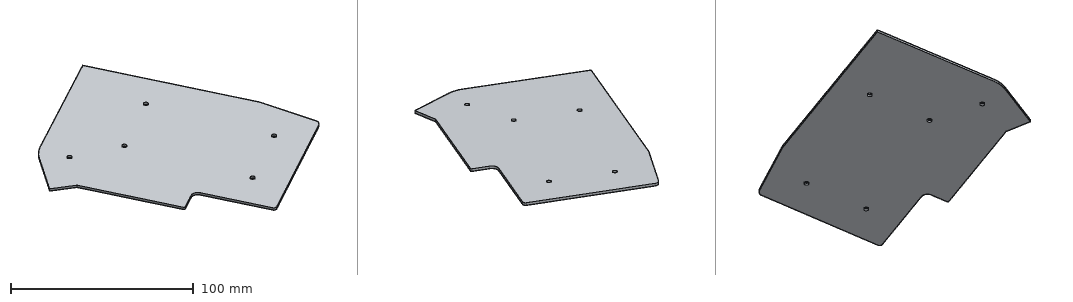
import cadquery as cq
import math

length = 139.0
width = 106.7
thickness = 1.7

left_edge_lean = 0.4
left_bend_y = 28.1
left_bend_radius = 17.4
foot_angle = math.radians(30)
lean_angle = math.atan(left_edge_lean / (width - left_bend_y))
half_turn_ratio = math.cos((foot_angle - lean_angle) / 2) / math.cos((foot_angle + lean_angle) / 2)
left_bend_x = -left_bend_radius * (half_turn_ratio - 1)
foot_x = left_bend_x + left_bend_y * math.tan(foot_angle)

bottom_y = 7.6
bottom_start_x = foot_x + bottom_y / math.tan(foot_angle)
step_x = 91.5
step_y = 22.4
step_outer_radius = 0.7
step_inner_radius = 3.9
lower_right_radius = 1.7

slope_start_x = 102.2
slope_drop = 6.1
upper_right_radius = 2.9

hole_diameter = 2.6
pair_spacing = 38.0
left_pair = (43.5, 48.0)
right_pair = (118.8, 43.7)
single_hole = (18.1, 29.5)


def make_plate():
    """Extrude the sharp-cornered outline of the plate."""
    outline = [
        (foot_x, 0),
        (bottom_start_x, bottom_y),
        (step_x, bottom_y),
        (step_x, step_y),
        (length, step_y),
        (length, width - slope_drop),
        (slope_start_x, width),
        (left_bend_x + left_edge_lean, width),
        (left_bend_x, left_bend_y),
    ]
    return cq.Workplane("XY").polyline(outline).close().extrude(thickness)


def round_corner(plate, x, y, radius):
    """Fillet the upright edge nearest to the given corner."""
    nearest = cq.selectors.NearestToPointSelector((x, y, thickness / 2))
    return plate.edges("|Z").edges(nearest).fillet(radius)


def drill_holes(plate):
    """Cut all the holes through the plate."""
    centers = [single_hole]
    for x, y in (left_pair, right_pair):
        centers += [(x, y), (x, y + pair_spacing)]
    holes = cq.Workplane("XY").pushPoints(centers).circle(hole_diameter / 2).extrude(thickness)
    return plate.cut(holes)


rounded_corners = [
    (left_bend_x, left_bend_y, left_bend_radius),
    (step_x, bottom_y, step_outer_radius),
    (step_x, step_y, step_inner_radius),
    (length, step_y, lower_right_radius),
    (length, width - slope_drop, upper_right_radius),
]

result = make_plate()
for corner_x, corner_y, corner_radius in rounded_corners:
    result = round_corner(result, corner_x, corner_y, corner_radius)
result = drill_holes(result)